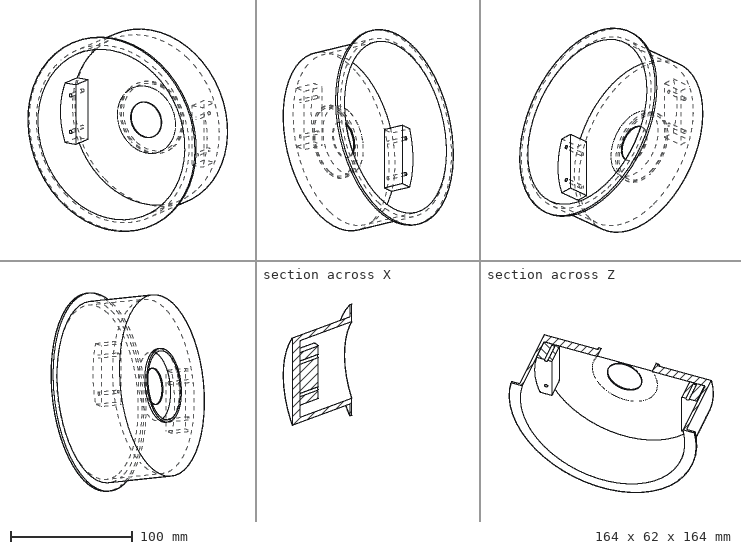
import cadquery as cq

flange_diameter = 164.0
flange_thickness = 2.0
drum_diameter = 150.0
wall_thickness = 3.0
drum_depth = 60.0
cavity_depth = 52.0
web_thickness = 1.0
boss_diameter = 61.0
boss_height = 2.0
bore_diameter = 30.0
rear_recess_diameter = 57.0

block_inner_x = 56.9
block_height = 51.0
block_depth = 18.2
screw_hole_diameter = 2.6
screw_hole_x = 62.0
screw_hole_spacing = 31.2

cavity_diameter = drum_diameter - 2 * wall_thickness
back_y = drum_depth + boss_height
recess_y = cavity_depth + web_thickness
block_front_y = cavity_depth - block_depth


def cylinder_along_y(diameter, start_y, length, x=0, z=0):
    """Solid cylinder running in +Y from start_y."""
    return cq.Workplane(
        cq.Solid.makeCylinder(diameter / 2, length, cq.Vector(x, start_y, z), cq.Vector(0, 1, 0))
    )


def make_housing():
    """Flanged drum with a raised rear boss, recessed from behind to leave a thin web with a bore."""
    flange = cylinder_along_y(flange_diameter, 0, flange_thickness)
    drum = cylinder_along_y(drum_diameter, 0, drum_depth)
    boss = cylinder_along_y(boss_diameter, drum_depth, boss_height)
    cavity = cylinder_along_y(cavity_diameter, 0, cavity_depth)
    bore = cylinder_along_y(bore_diameter, cavity_depth, web_thickness)
    rear_recess = cylinder_along_y(rear_recess_diameter, recess_y, back_y - recess_y)
    return flange.union(drum).union(boss).cut(cavity).cut(bore).cut(rear_recess)


def make_block(side):
    """Block with a curved outer side fitting the drum wall; side is +1 for +X, -1 for -X."""
    block_width = cavity_diameter / 2 - block_inner_x
    block_center_x = side * (block_inner_x + block_width / 2)
    block = (
        cq.Workplane("XY")
        .box(block_width, block_depth, block_height)
        .translate((block_center_x, block_front_y + block_depth / 2, 0))
        .intersect(cylinder_along_y(cavity_diameter, block_front_y, block_depth))
    )
    for end in (-1, 1):
        hole_z = end * screw_hole_spacing / 2
        block = block.cut(
            cylinder_along_y(screw_hole_diameter, block_front_y, block_depth, side * screw_hole_x, hole_z)
        )
    return block


housing = make_housing()
blocks = [make_block(side) for side in (-1, 1)]

result = cq.Compound.makeCompound([housing.val(), *[block.val() for block in blocks]])